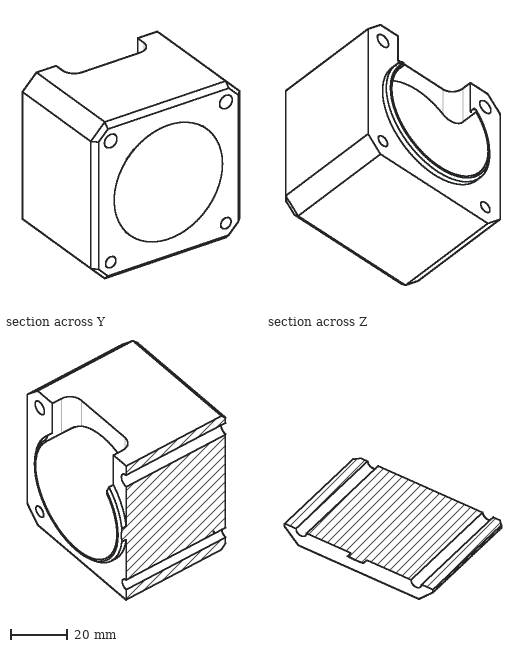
import cadquery as cq

side = 64.0
total_length = 48.0
collar_length = 3.0
corner_chamfer = 6.0
rear_chamfer = 2.0

bore_diameter = 46.6
collar_diameter = 50.05
collar_chamfer = 1.0

hole_offset = 24.8
upper_hole_diameter = 5.4
lower_hole_diameter = 4.4

notch_width = 35.0
notch_depth = 12.0
notch_corner_radius = 5.0

body_length = total_length - collar_length


def x_cylinder(diameter, length, y=0, z=0):
    """Cylinder along +X that starts at the collar face."""
    return cq.Workplane("YZ").center(y, z).circle(diameter / 2).extrude(length)


def bevelled_outline(half_side):
    """Closed outline of a cross-section whose flat edges keep the same length for any half_side."""
    half_flat = side / 2 - corner_chamfer
    return [
        (half_flat, half_side),
        (half_side, half_flat),
        (half_side, -half_flat),
        (half_flat, -half_side),
        (-half_flat, -half_side),
        (-half_side, -half_flat),
        (-half_side, half_flat),
        (-half_flat, half_side),
    ]


def make_body():
    """Square block with bevelled long edges that tapers at the rear rim."""
    prism_length = body_length - rear_chamfer
    prism = (
        cq.Workplane("YZ", origin=(collar_length, 0, 0))
        .polyline(bevelled_outline(side / 2))
        .close()
        .extrude(prism_length)
    )
    rear_taper = (
        cq.Workplane("YZ", origin=(collar_length + prism_length, 0, 0))
        .polyline(bevelled_outline(side / 2))
        .close()
        .workplane(offset=rear_chamfer)
        .polyline(bevelled_outline(side / 2 - rear_chamfer))
        .close()
        .loft(ruled=True)
    )
    return prism.union(rear_taper)


def make_collar():
    """Locating collar with a chamfered front rim."""
    overlap = 0.65
    return x_cylinder(collar_diameter, collar_length + overlap).faces("<X").chamfer(collar_chamfer)


def make_notch():
    """Opening from the top face down to the bore axis, with rounded inner corners."""
    return (
        cq.Workplane("XY")
        .box(notch_depth, notch_width, side / 2, centered=(False, True, False))
        .edges("|Z and >X")
        .fillet(notch_corner_radius)
    )


result = make_body().union(make_collar())
result = result.cut(x_cylinder(bore_diameter, total_length))
result = result.cut(make_notch())

for y in (-hole_offset, hole_offset):
    result = result.cut(x_cylinder(upper_hole_diameter, total_length, y, hole_offset))
    result = result.cut(x_cylinder(lower_hole_diameter, total_length, y, -hole_offset))